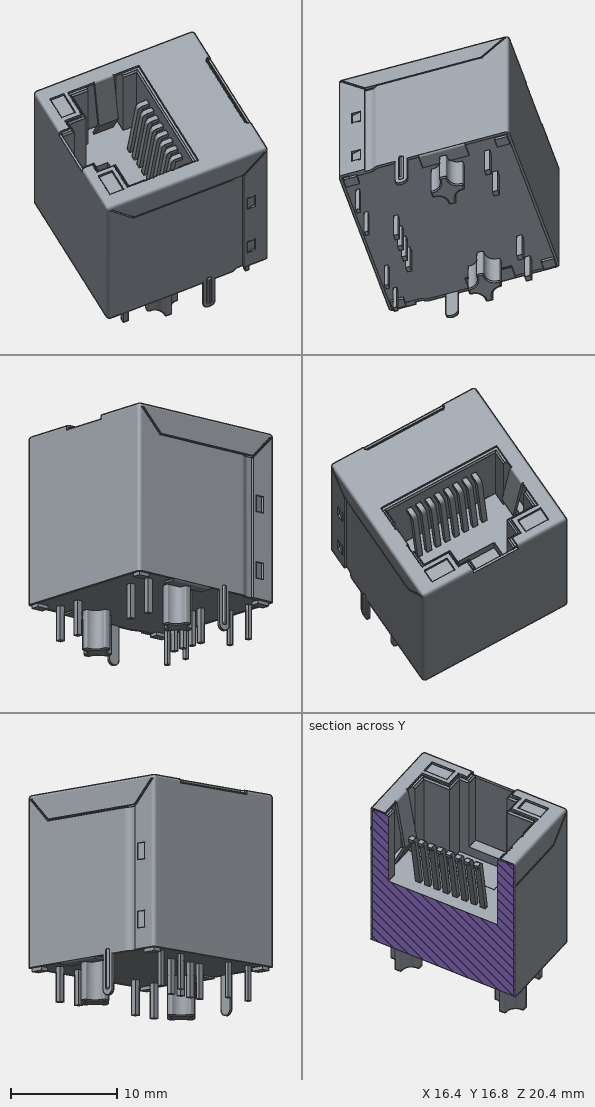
import cadquery as cq
import math

BODY_X = 16.0
BODY_Y = 16.83
BODY_TOP = 16.5
SHEET = 0.25
EDGE_RADIUS = 0.35
TAIL_DEPTH = 3.9

HALF_X = BODY_X / 2
HALF_Y = BODY_Y / 2
CORE_HALF_X = HALF_X - SHEET
CORE_HALF_Y = HALF_Y - SHEET
CORE_TOP = BODY_TOP - SHEET
OVER = 0.4

WINDOW_BACK_Y = 1.88
WINDOW_STEPS = [(6.39, -5.57), (3.45, -7.32), (2.47, -HALF_Y - OVER)]
FRONT_NOTCH_DEPTH = 0.5

CAVITY_BACK_Y = 1.47
CAVITY_STEPS = [(6.0, -5.25), (3.15, -7.0), (2.08, -CORE_HALF_Y - OVER)]
CAVITY_FLOOR = 8.15
CAVITY_CHAMFER = 0.16
LATCH_BACK_Y = -2.98
LATCH_FLOOR = 7.15

SLOT_Y = (-3.63, 0.05)
SLOT_HALF_X = 7.55
TAB_Y = (-2.82, -0.8)
TAB_ROOT_X = 6.5
TAB_TIP_X = 5.32
TAB_DROP = 5.4
TAB_RETURN_DROP = 2.45
TAB_RETURN_X = 6.43

LED_X = (3.92, 6.43)
LED_Y = (-7.43, -5.98)

REAR_NOTCH_HALF_X = 4.4
REAR_NOTCH_Y = 0.6
REAR_NOTCH_Z = 0.43
REAR_NOTCH_CHAMFER = 0.25
CORE_REAR_CHAMFER = 0.16

SEAM_WIDTH = 0.16
SEAM_Z = 13.75
SEAM_BACK_Y = 5.85
SEAM_FRONT_Y = -5.75
SEAM_MITER_ANGLE = 45.0
SEAM_MARGIN = 0.4

JOGGLE_START_Y = 4.49
JOGGLE_END_Y = 5.39
JOGGLE_TAIL_Y = 7.5
JOGGLE_LAP = 0.2

LATCH_WINDOW_Y = (6.22, 7.1)
LATCH_WINDOW_HEIGHT = 1.6
LATCH_WINDOW_BOTTOMS = [2.0, 8.53]
LATCH_RAMP_SHALLOW = 0.05

LEG_Y = 2.22
LEG_WIDTH = 1.2
RIB_WIDTH = 0.53
RIB_HEIGHT = 0.2
RIB_CHAMFER = 0.18
RIB_TOP = 0.53
RIB_BOTTOM = -3.35

FOLD_X = 6.6
FOLD_Y = (-4.05, 0.53)
FOLD_THICKNESS = 0.18
FOLD_RISE = 0.08

POST_X = 5.75
POST_Y = -1.7
POST_RADIUS = 1.6
FLUTE_RADIUS = 1.02
FLUTE_OFFSET = 1.37
POST_EDGE_RADIUS = 0.15
POST_CHAMFER = 0.12

FOOT_X = (6.81, 7.67)
FOOT_Y_RANGES = [(-8.15, -6.92), (6.71, 8.05)]
FOOT_HEIGHT = 0.35

PIN_DEPTH = 3.37
PIN_GROUPS = [
    ([3.8, 6.28], -5.81, 0.53, 0.53),
    ([0.63, 1.9], 4.61, 0.53, 0.43),
    ([3.16, 5.81], 7.16, 0.43, 0.37),
]

CONTACT_COUNT = 8
CONTACT_PITCH = 1.02
CONTACT_WIDTH = 0.53
CONTACT_TOP = 14.4
CONTACT_BEND_Y = 0.35
CONTACT_FOOT_Y = -0.6
CONTACT_THICKNESS = 0.4
CONTACT_BEND_RADIUS = 0.5


def block(x_range, y_range, z_range):
    """Box given by its limits along each axis."""
    size = [high - low for low, high in (x_range, y_range, z_range)]
    corner = (x_range[0], y_range[0], z_range[0])
    return cq.Workplane("XY").box(*size, centered=False).translate(corner)


def mirrored_pair(shape):
    """The shape together with its mirror image across x = 0."""
    return [shape, shape.mirror("YZ")]


def stepped_prism(back_y, steps, z_low, z_high, grow=0.0):
    """Prism symmetric in x whose half width shrinks in steps toward -Y."""
    right_side = []
    y = back_y + grow
    for half_width, front_y in steps:
        right_side += [(half_width + grow, y), (half_width + grow, front_y - grow)]
        y = front_y - grow
    left_side = [(-x, y) for x, y in reversed(right_side)]
    outline = cq.Workplane("XY").workplane(offset=z_low).polyline(right_side + left_side).close()
    return outline.extrude(z_high - z_low)


def shield_shell():
    outer = block((-HALF_X, HALF_X), (-HALF_Y, HALF_Y), (0, BODY_TOP))
    outer = outer.edges("|Z or >Z").fillet(EDGE_RADIUS)
    inner = block((-CORE_HALF_X, CORE_HALF_X), (-CORE_HALF_Y, CORE_HALF_Y), (-OVER, CORE_TOP))
    return outer.cut(inner)


def top_openings():
    """Plug opening, front notch, tab notches, indicator windows and rear notch."""
    low = CORE_TOP - OVER
    high = BODY_TOP + OVER
    cutters = [stepped_prism(WINDOW_BACK_Y, WINDOW_STEPS, CORE_TOP, high)]
    notch_half = WINDOW_STEPS[-1][0]
    notch_low = BODY_TOP - FRONT_NOTCH_DEPTH
    cutters.append(block((-notch_half, notch_half), (-HALF_Y - OVER, -CORE_HALF_Y), (notch_low, high)))
    cutters.append(block((-TAB_ROOT_X, TAB_ROOT_X), TAB_Y, (low, high)))
    cutters += mirrored_pair(block(LED_X, LED_Y, (low, high)))
    rear_low = BODY_TOP - REAR_NOTCH_Z
    rear_notch = block((-REAR_NOTCH_HALF_X, REAR_NOTCH_HALF_X),
                       (HALF_Y - REAR_NOTCH_Y, HALF_Y + OVER), (rear_low, high))
    cutters.append(rear_notch.edges("|Z and <Y").chamfer(REAR_NOTCH_CHAMFER))
    return cutters


def seam_cutter():
    """Band along the two mitred corners and the level seam of the -X wall."""
    top_z = BODY_TOP - SEAM_MARGIN
    rise = top_z - SEAM_Z
    miter = SEAM_WIDTH * math.tan(math.radians(SEAM_MITER_ANGLE / 2))
    upper_z = SEAM_Z + SEAM_WIDTH
    upper_rise = top_z - upper_z
    back_upper_y = SEAM_BACK_Y - miter
    front_upper_y = SEAM_FRONT_Y + miter
    outline = [
        (SEAM_BACK_Y + rise, top_z),
        (SEAM_BACK_Y, SEAM_Z),
        (SEAM_FRONT_Y, SEAM_Z),
        (SEAM_FRONT_Y - rise, top_z),
        (front_upper_y - upper_rise, top_z),
        (front_upper_y, upper_z),
        (back_upper_y, upper_z),
        (back_upper_y + upper_rise, top_z),
    ]
    band = cq.Workplane("YZ").workplane(offset=-HALF_X - OVER).polyline(outline).close()
    return band.extrude(OVER + SHEET)


def joggle_gap():
    """Strip of the -X wall removed for the step, up to the rear flap."""
    return block((-HALF_X - OVER, -CORE_HALF_X), (JOGGLE_START_Y, SEAM_BACK_Y), (-OVER, SEAM_Z))


def joggle_wall():
    """Sheet that steps in from the -X wall by two tangent arcs and runs behind the rear flap."""
    outer_x = -HALF_X
    middle_x = outer_x + SHEET
    inner_x = middle_x + SHEET
    lap_y = JOGGLE_START_Y - JOGGLE_LAP
    bend_middle_y = (JOGGLE_START_Y + JOGGLE_END_Y) / 2
    profile = (cq.Workplane("XY").moveTo(outer_x, lap_y)
               .lineTo(outer_x, JOGGLE_START_Y)
               .tangentArcPoint((outer_x + SHEET / 2, bend_middle_y), relative=False)
               .tangentArcPoint((middle_x, JOGGLE_END_Y), relative=False)
               .lineTo(middle_x, JOGGLE_TAIL_Y)
               .lineTo(inner_x, JOGGLE_TAIL_Y)
               .lineTo(inner_x, JOGGLE_END_Y)
               .tangentArcPoint((middle_x + SHEET / 2, bend_middle_y), relative=False)
               .tangentArcPoint((middle_x, JOGGLE_START_Y), relative=False)
               .lineTo(middle_x, lap_y)
               .close())
    return profile.extrude(SEAM_Z)


def latch_windows():
    """Ramped recesses in the -X rear flap, deepest on their +Y side."""
    front_y, back_y = LATCH_WINDOW_Y
    outline = [
        (-HALF_X - OVER, back_y),
        (-CORE_HALF_X, back_y),
        (-HALF_X + LATCH_RAMP_SHALLOW, front_y),
        (-HALF_X - OVER, front_y),
    ]
    ramp = cq.Workplane("XY").polyline(outline).close().extrude(LATCH_WINDOW_HEIGHT)
    return [ramp.translate((0, 0, bottom)) for bottom in LATCH_WINDOW_BOTTOMS]


def spring_tab():
    """Tab folded from the +X edge of the opening: slopes inward, then returns."""
    tip_z = BODY_TOP - TAB_DROP
    end_z = tip_z - TAB_RETURN_DROP
    outline = [
        (TAB_ROOT_X + SHEET, BODY_TOP),
        (TAB_ROOT_X - SHEET, BODY_TOP),
        (TAB_TIP_X, tip_z),
        (TAB_RETURN_X, end_z),
        (TAB_RETURN_X + SHEET, end_z),
        (TAB_TIP_X + SHEET, tip_z),
        (TAB_ROOT_X, CORE_TOP),
        (TAB_ROOT_X + SHEET, CORE_TOP),
    ]
    profile = cq.Workplane("XZ").workplane(offset=-TAB_Y[1]).polyline(outline).close()
    tab = profile.extrude(TAB_Y[1] - TAB_Y[0])
    return tab.faces(">Z").edges("<X").fillet(SHEET)


def ground_leg():
    """Leg below the -X wall with a rounded tip and an outward rib."""
    half = LEG_WIDTH / 2
    leg = (cq.Workplane("YZ").workplane(offset=-HALF_X)
           .moveTo(LEG_Y - half, 0)
           .lineTo(LEG_Y - half, half - TAIL_DEPTH)
           .threePointArc((LEG_Y, -TAIL_DEPTH), (LEG_Y + half, half - TAIL_DEPTH))
           .lineTo(LEG_Y + half, 0)
           .close().extrude(SHEET))
    rib = (cq.Workplane("YZ").workplane(offset=-HALF_X - RIB_HEIGHT)
           .center(LEG_Y, (RIB_TOP + RIB_BOTTOM) / 2)
           .slot2D(RIB_TOP - RIB_BOTTOM, RIB_WIDTH, 90).extrude(RIB_HEIGHT)
           .faces("<X").edges().chamfer(RIB_CHAMFER))
    return leg.union(rib)


def fold_tab():
    """Tab folded under the core from the -X wall, with a rounded bend."""
    tab = block((-HALF_X, -FOLD_X), FOLD_Y, (-FOLD_THICKNESS, FOLD_RISE))
    return tab.edges("<X and <Z").fillet(SHEET)


def build_shield():
    shield = shield_shell()
    for cutter in top_openings():
        shield = shield.cut(cutter)
    for cutter in [seam_cutter(), joggle_gap(), *latch_windows()]:
        for copy in mirrored_pair(cutter):
            shield = shield.cut(copy)
    for addition in [joggle_wall(), spring_tab(), ground_leg(), fold_tab()]:
        for copy in mirrored_pair(addition):
            shield = shield.union(copy)
    return shield


def cavity():
    """Stepped plug cavity with its latch pocket and side slots."""
    high = CORE_TOP + OVER
    main = stepped_prism(CAVITY_BACK_Y, CAVITY_STEPS, CAVITY_FLOOR, CORE_TOP)
    latch_half, latch_front_y = CAVITY_STEPS[1]
    latch = block((-latch_half, latch_half), (latch_front_y, LATCH_BACK_Y), (LATCH_FLOOR, high))
    slots = block((-SLOT_HALF_X, SLOT_HALF_X), SLOT_Y, (CAVITY_FLOOR, high))
    return [main, latch, slots]


def cavity_chamfer():
    """Bevel around the cavity mouth, widening upward to the core top."""
    low_z = CORE_TOP - CAVITY_CHAMFER
    mouth = stepped_prism(CAVITY_BACK_Y, CAVITY_STEPS, low_z, CORE_TOP + OVER, CAVITY_CHAMFER)
    return mouth.faces("<Z").edges().chamfer(CAVITY_CHAMFER)


def post():
    """Round post with four concave flutes and a chamfered tip."""
    body = cq.Workplane("XY").circle(POST_RADIUS).extrude(-TAIL_DEPTH)
    corners = [(x, y) for x in (-FLUTE_OFFSET, FLUTE_OFFSET) for y in (-FLUTE_OFFSET, FLUTE_OFFSET)]
    flutes = cq.Workplane("XY").pushPoints(corners).circle(FLUTE_RADIUS).extrude(-TAIL_DEPTH)
    fluted = body.cut(flutes).edges("|Z").fillet(POST_EDGE_RADIUS)
    return fluted.faces("<Z").chamfer(POST_CHAMFER).translate((POST_X, POST_Y, 0))


def contact():
    """Contact hooking out of the rear cavity wall and sloping to the floor."""
    underside_z = CONTACT_TOP - CONTACT_THICKNESS
    outline = [
        (CAVITY_BACK_Y + OVER, CONTACT_TOP),
        (CONTACT_BEND_Y, CONTACT_TOP),
        (CONTACT_FOOT_Y, CAVITY_FLOOR),
        (CONTACT_FOOT_Y + CONTACT_THICKNESS, CAVITY_FLOOR),
        (CONTACT_BEND_Y + CONTACT_THICKNESS, underside_z),
        (CAVITY_BACK_Y + OVER, underside_z),
    ]
    profile = cq.Workplane("YZ").workplane(offset=-CONTACT_WIDTH / 2).polyline(outline).close()
    strip = profile.extrude(CONTACT_WIDTH)
    return strip.faces(">Z").edges("<Y").fillet(CONTACT_BEND_RADIUS)


def build_core(shield):
    core = block((-CORE_HALF_X, CORE_HALF_X), (-CORE_HALF_Y, CORE_HALF_Y), (0, CORE_TOP))
    core = core.edges(">Y and >Z").chamfer(CORE_REAR_CHAMFER)
    for cutter in cavity():
        core = core.cut(cutter)
    core = core.cut(cavity_chamfer())
    for copy in mirrored_pair(post()):
        core = core.union(copy)
    for foot_y in FOOT_Y_RANGES:
        for foot in mirrored_pair(block(FOOT_X, foot_y, (-FOOT_HEIGHT, 0))):
            core = core.union(foot)
    for spacings, row_y, width_x, width_y in PIN_GROUPS:
        pin_y = (row_y - width_y / 2, row_y + width_y / 2)
        for x in spacings:
            pin_x = (x - width_x / 2, x + width_x / 2)
            for pin in mirrored_pair(block(pin_x, pin_y, (-PIN_DEPTH, 0))):
                core = core.union(pin)
    for i in range(CONTACT_COUNT):
        x = (i - (CONTACT_COUNT - 1) / 2) * CONTACT_PITCH
        core = core.union(contact().translate((x, 0, 0)))
    return core.cut(shield)


shield = build_shield()
core = build_core(shield)
result = cq.Compound.makeCompound([shield.val(), core.val()])